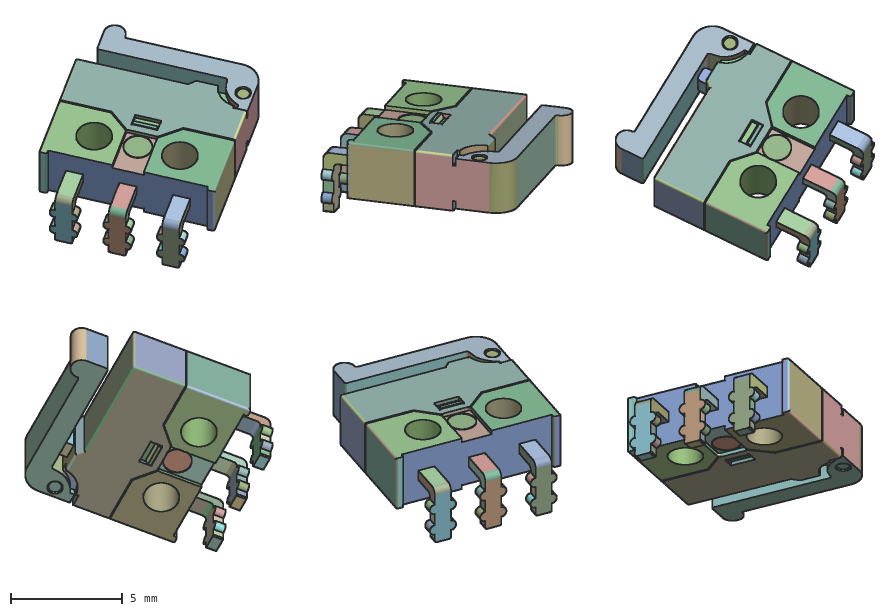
import cadquery as cq


case_width = 8.2
case_thickness = 2.7
case_height = 5.6
case_round = 0.1
step_start_x = 1.12
step_rise = 0.3
foot_width = 0.38
foot_length = 0.2
half_width = case_width / 2
case_top = case_thickness / 2
step_height = case_height + step_rise

hole_diameter = 1.61
hole_spacing = 4.0
hole_y = 1.4

recess_half_width = 0.735
recess_height = 2.2
recess_depth = 0.2
recess_corner = 0.1
mark_radius = 0.65
mark_y = 1.54
mark_depth = 0.04

seam_y = 3.0
seam_bend_x = 1.69
seam_width = 0.04
seam_depth = 0.04

window_width = 1.22
window_bottom = 2.56
window_height = 0.58
window_depth = 0.2
latch_width = 1.14
latch_flat = 0.18
latch_base = 0.28
latch_rise = 0.05

lever_thickness = 2.4
lever_arm = 1.0
lever_left_x = -3.4
lever_underside = 6.5
lever_elbow_radius = lever_arm
lever_corner = 0.1
knob_radius = 0.5
lever_inner_x = 2.695
lever_neck_x = 2.79
lever_heel_x = 3.6
lever_heel_y = 5.14
lever_bottom = 4.93
lever_heel_radius = 1.55
lever_top = lever_underside + lever_arm
knob_x = lever_left_x + knob_radius
knob_y = lever_top + lever_corner

pocket_depth = 0.5
pocket_left_x = 2.43
pocket_step_x = 3.47
pocket_step_y = 4.92
pocket_bottom = 4.79
pocket_radius = 1.14

pin_x = 3.61
pin_y = 5.89
pin_radius = 0.35
pin_dish_depth = 0.06

plunger_x = 1.95
plunger_width = 0.73
plunger_thickness = 1.02
plunger_round = 0.2

terminal_spacing = 2.5
terminal_width = 0.8
terminal_thickness = 0.5
terminal_top = 0.25
terminal_tip_z = -2.6
terminal_end_y = -1.71
terminal_outer_bend = 0.3
terminal_inner_bend = 0.2
terminal_tip_chamfer = 0.06
barb_radius = terminal_thickness / 2
barb_heights = (-0.8, -1.9)


def prism(outline, thickness):
    """Extrude a closed XY outline equally to both sides of Z = 0."""
    return outline.close().extrude(thickness / 2, both=True)


def edges_in_box(low, high):
    """Select the edges whose centres lie in an XY rectangle, at any Z."""
    margin = 0.01
    return cq.selectors.BoxSelector(
        (low[0] - margin, low[1] - margin, -case_thickness),
        (high[0] + margin, high[1] + margin, case_thickness),
    )


def on_both_faces(solid):
    """Add the mirror copy on the opposite face of the case."""
    return solid.union(solid.mirror("XY"))


def make_case():
    """Stepped case with a rounded rim, open at the terminal end between two feet."""
    body = prism(
        cq.Workplane("XY")
        .moveTo(-half_width, -foot_length)
        .lineTo(-half_width, case_height)
        .lineTo(step_start_x, case_height)
        .lineTo(step_start_x + step_rise, step_height)
        .lineTo(half_width, step_height)
        .lineTo(half_width, -foot_length),
        case_thickness,
    )
    upper_left = edges_in_box((-half_width, case_height), (-half_width, case_height))
    body = body.edges("|Z").edges(upper_left).fillet(case_round)
    rim = edges_in_box((-half_width, 0), (half_width, step_height))
    body = body.faces("<Z or >Z").edges(rim).fillet(case_round)

    foot_x = half_width - foot_width
    feet_outline = prism(
        cq.Workplane("XY")
        .moveTo(-half_width, -foot_length)
        .lineTo(-half_width, step_height)
        .lineTo(half_width, step_height)
        .lineTo(half_width, -foot_length)
        .lineTo(foot_x, -foot_length)
        .lineTo(foot_x, 0)
        .lineTo(-foot_x, 0)
        .lineTo(-foot_x, -foot_length),
        case_thickness,
    )
    foot_ends = edges_in_box((-half_width, -foot_length), (half_width, -foot_length))
    feet_outline = feet_outline.edges("|Z").edges(foot_ends).fillet(case_round)
    return body.intersect(feet_outline)


def cut_holes(case):
    holes = (
        cq.Workplane("XY")
        .pushPoints([(-hole_spacing / 2, hole_y), (hole_spacing / 2, hole_y)])
        .circle(hole_diameter / 2)
        .extrude(case_thickness, both=True)
    )
    return case.cut(holes)


def cut_recesses(case):
    recess = (
        cq.Workplane("XY", origin=(0, recess_height / 2, case_top - recess_depth))
        .rect(2 * recess_half_width, recess_height)
        .extrude(case_thickness)
        .edges("|Z and >Y")
        .fillet(recess_corner)
    )
    mark = (
        cq.Workplane("XY", origin=(0, mark_y, case_top - recess_depth - mark_depth))
        .circle(mark_radius)
        .extrude(recess_depth)
    )
    return case.cut(on_both_faces(recess.union(mark)))


def cut_seam(case):
    """Shallow groove that follows the joint around the whole case."""
    half_gap = seam_width / 2
    bend_y = recess_height - half_gap
    groove = prism(
        cq.Workplane("XY")
        .moveTo(-case_width, seam_y + half_gap)
        .lineTo(-seam_bend_x, seam_y + half_gap)
        .lineTo(-recess_half_width, bend_y + half_gap)
        .lineTo(recess_half_width, bend_y + half_gap)
        .lineTo(seam_bend_x, seam_y + half_gap)
        .lineTo(case_width, seam_y + half_gap)
        .lineTo(case_width, seam_y - half_gap)
        .lineTo(seam_bend_x, seam_y - half_gap)
        .lineTo(recess_half_width, bend_y - half_gap)
        .lineTo(-recess_half_width, bend_y - half_gap)
        .lineTo(-seam_bend_x, seam_y - half_gap)
        .lineTo(-case_width, seam_y - half_gap),
        2 * case_thickness,
    )
    core = cq.Workplane("XY").box(
        case_width - 2 * seam_depth,
        2 * case_height,
        case_thickness - 2 * seam_depth,
    )
    return case.cut(groove.cut(core))


def add_latches(case):
    """Windows with a sloped latch standing slightly proud of each face."""
    window_floor = case_top - window_depth
    latch_height = window_depth + latch_rise
    window = (
        cq.Workplane("XY", origin=(0, window_bottom + window_height / 2, window_floor))
        .rect(window_width, window_height)
        .extrude(case_thickness)
    )
    latch = (
        cq.Workplane("YZ", origin=(-latch_width / 2, window_bottom, window_floor))
        .lineTo(0, latch_height)
        .lineTo(latch_flat, latch_height)
        .lineTo(latch_base, 0)
        .close()
        .extrude(latch_width)
    )
    return case.cut(on_both_faces(window)).union(on_both_faces(latch))


def cut_lever_pockets(case):
    outer_x = half_width + lever_arm
    outer_y = step_height + lever_arm
    pocket = (
        cq.Workplane("XY", origin=(0, 0, case_top - pocket_depth))
        .moveTo(pocket_left_x, outer_y)
        .lineTo(pocket_left_x, step_height)
        .radiusArc((pocket_step_x, pocket_step_y), -pocket_radius)
        .lineTo(pocket_step_x, pocket_bottom)
        .lineTo(outer_x, pocket_bottom)
        .lineTo(outer_x, outer_y)
        .close()
        .extrude(case_thickness)
    )
    return case.cut(on_both_faces(pocket))


def make_lever():
    outline = (
        cq.Workplane("XY")
        .moveTo(lever_left_x, lever_underside + lever_corner)
        .lineTo(lever_left_x, knob_y)
        .threePointArc((knob_x, knob_y + knob_radius), (knob_x + knob_radius, knob_y))
        .radiusArc((knob_x + knob_radius + lever_corner, lever_top), -lever_corner)
        .lineTo(half_width - lever_elbow_radius, lever_top)
        .radiusArc((half_width, lever_top - lever_elbow_radius), lever_elbow_radius)
        .lineTo(half_width, lever_bottom)
        .lineTo(lever_heel_x, lever_bottom)
        .lineTo(lever_heel_x, lever_heel_y)
        .radiusArc((lever_neck_x, step_height), lever_heel_radius)
        .lineTo(lever_inner_x, lever_underside - lever_corner)
        .radiusArc((lever_inner_x - lever_corner, lever_underside), -lever_corner)
        .lineTo(lever_left_x + lever_corner, lever_underside)
        .radiusArc((lever_left_x, lever_underside + lever_corner), lever_corner)
    )
    return prism(outline, lever_thickness)


def cut_pin_dishes(switch):
    """Dish with a 45-degree wall in each end of the lever pin."""
    lever_face = lever_thickness / 2
    dish = cq.Workplane("XY").add(
        cq.Solid.makeCone(
            pin_radius - pin_dish_depth,
            pin_radius,
            pin_dish_depth,
            cq.Vector(pin_x, pin_y, lever_face - pin_dish_depth),
        )
    )
    return switch.cut(on_both_faces(dish))


def make_plunger():
    return (
        cq.Workplane("XY")
        .moveTo(plunger_x, (step_height + lever_underside) / 2)
        .rect(plunger_width, lever_underside - step_height)
        .extrude(plunger_thickness / 2, both=True)
        .edges("|Z and >Y")
        .fillet(plunger_round)
    )


def make_terminal(x):
    """Right-angle terminal with two rounded barbs on each edge of its leg."""
    leg_y = terminal_end_y + terminal_thickness
    under_side = terminal_top - terminal_thickness
    terminal = (
        cq.Workplane("YZ", origin=(x, 0, 0))
        .moveTo(0, terminal_top)
        .lineTo(terminal_end_y + terminal_outer_bend, terminal_top)
        .radiusArc((terminal_end_y, terminal_top - terminal_outer_bend), -terminal_outer_bend)
        .lineTo(terminal_end_y, terminal_tip_z)
        .lineTo(leg_y, terminal_tip_z)
        .lineTo(leg_y, under_side - terminal_inner_bend)
        .radiusArc((leg_y + terminal_inner_bend, under_side), terminal_inner_bend)
        .lineTo(0, under_side)
        .close()
        .extrude(terminal_width / 2, both=True)
        .faces("<Z")
        .edges("|Y")
        .chamfer(terminal_tip_chamfer)
    )
    edges = (-terminal_width / 2, terminal_width / 2)
    barbs = (
        cq.Workplane("XZ", origin=(x, leg_y, 0))
        .pushPoints([(edge, height) for edge in edges for height in barb_heights])
        .circle(barb_radius)
        .extrude(terminal_thickness)
    )
    return terminal.union(barbs)


case = make_case()
case = cut_holes(case)
case = cut_recesses(case)
case = cut_seam(case)
case = add_latches(case)
case = cut_lever_pockets(case)

result = case.union(make_lever()).union(make_plunger())
result = cut_pin_dishes(result)
for terminal_x in (-terminal_spacing, 0, terminal_spacing):
    result = result.union(make_terminal(terminal_x))